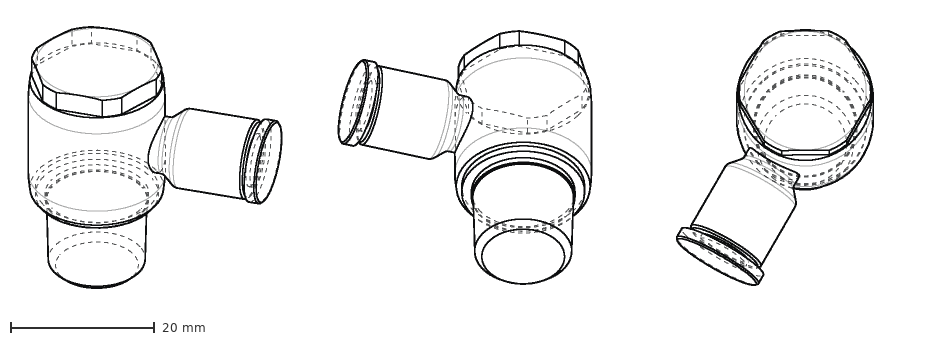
import cadquery as cq
import math


stem_top = 11.0
stem_top_radius = 7.0
stem_end_radius = 6.75
stem_chamfer = 1.0

collar_top = 12.0
collar_radius = 7.2
collar_chamfer = 0.15
flange_radius = 8.55

body_bottom = 13.0
body_top = 31.0
body_radius = 9.5
body_crown = 2.5
body_end_radius = 9.3

head_top = 34.0
across_flats = 17.02
head_corner_radius = 9.13
head_face_radius = 8.47
head_chamfer_height = 0.2

outlet_height = (body_bottom + body_top) / 2
neck_radius = 4.0
shoulder_start = 10.4
shoulder_end = 12.35
shoulder_blend = 1.0
socket_radius = 5.6
socket_end = 22.67
socket_chamfer = 0.3
sleeve_radius = 3.75

button_start = 23.3
overall_length = 34.45
button_end = overall_length - body_radius
button_width = 13.1
button_height = 11.05
button_chamfer = 0.25


def make_column():
    """Revolve the stem, collar, flange and swivel body about Z."""
    crown_mid_radius = body_radius - (body_radius - body_end_radius) / 4
    lower_crown_top = body_bottom + body_crown
    upper_crown_bottom = body_top - body_crown
    profile = (
        cq.Workplane("XZ")
        .lineTo(stem_end_radius - stem_chamfer, 0)
        .lineTo(stem_end_radius, stem_chamfer)
        .lineTo(stem_top_radius, stem_top)
        .lineTo(collar_radius - collar_chamfer, stem_top)
        .lineTo(collar_radius, stem_top + collar_chamfer)
        .lineTo(collar_radius, collar_top)
        .lineTo(flange_radius, collar_top)
        .lineTo(flange_radius, body_bottom)
        .lineTo(body_end_radius, body_bottom)
        .threePointArc((crown_mid_radius, body_bottom + body_crown / 2), (body_radius, lower_crown_top))
        .lineTo(body_radius, upper_crown_bottom)
        .threePointArc((crown_mid_radius, body_top - body_crown / 2), (body_end_radius, body_top))
        .lineTo(0, body_top)
        .close()
    )
    return profile.revolve(360, (0, 0), (0, 1))


def make_head():
    """Hexagon with flats facing +Y and -Y, its corners turned round and chamfered on top."""
    hexagon = (
        cq.Workplane("XY", origin=(0, 0, body_top))
        .polygon(6, across_flats / math.cos(math.pi / 6))
        .extrude(head_top - body_top)
    )
    turned_blank = (
        cq.Workplane("XZ")
        .moveTo(0, body_top)
        .lineTo(head_corner_radius, body_top)
        .lineTo(head_corner_radius, head_top - head_chamfer_height)
        .lineTo(head_face_radius, head_top)
        .lineTo(0, head_top)
        .close()
        .revolve(360, (0, 0), (0, 1))
    )
    return hexagon.intersect(turned_blank)


def make_socket():
    """Revolve the neck, blended shoulder, socket and inner sleeve about the outlet axis."""
    slope = math.atan2(socket_radius - neck_radius, shoulder_end - shoulder_start)
    tangent = shoulder_blend * math.tan(slope / 2)
    along = tangent * math.cos(slope)
    rise = tangent * math.sin(slope)
    profile = (
        cq.Workplane("XZ", origin=(0, 0, outlet_height))
        .lineTo(0, neck_radius)
        .lineTo(shoulder_start - tangent, neck_radius)
        .tangentArcPoint((shoulder_start + along, neck_radius + rise), relative=False)
        .lineTo(shoulder_end - along, socket_radius - rise)
        .tangentArcPoint((shoulder_end + tangent, socket_radius), relative=False)
        .lineTo(socket_end - socket_chamfer, socket_radius)
        .lineTo(socket_end, socket_radius - socket_chamfer)
        .lineTo(socket_end, sleeve_radius)
        .lineTo(button_start, sleeve_radius)
        .lineTo(button_start, 0)
        .close()
    )
    return profile.revolve(360, (0, 0), (1, 0))


def make_button():
    """Elliptical plate, wider along Y, with its outer rim chamfered."""
    return (
        cq.Workplane("YZ", origin=(button_start, 0, outlet_height))
        .ellipse(button_width / 2, button_height / 2)
        .extrude(button_end - button_start)
        .faces(">X")
        .edges()
        .chamfer(button_chamfer)
    )


result = make_column().union(make_head()).union(make_socket()).union(make_button())